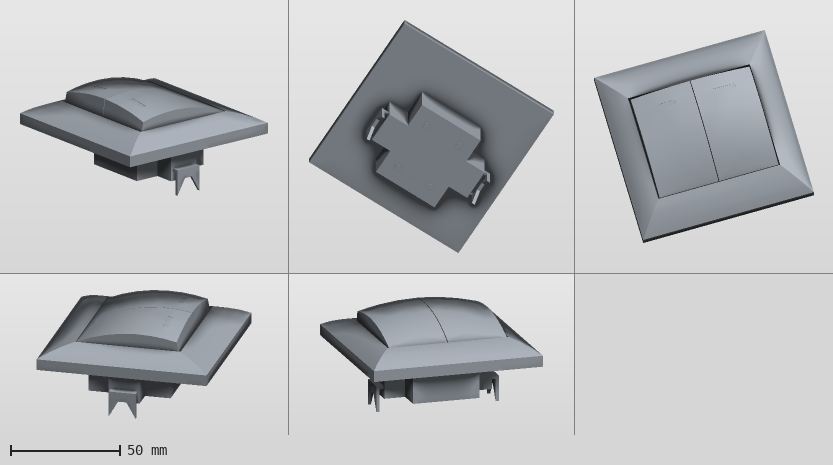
import cadquery as cq

FRAME_X = 81.5
FRAME_Y = 80.5
RIM_HEIGHT = 5.2
FRAME_HEIGHT = 11.0
OPENING_X = 58.2
OPENING_Y = 49.9
BEVEL_SAGITTA = 0.7

ROCKER_X = 56.7
ROCKER_BACK_Y = 24.6
ROCKER_BACK_Z = 10.75
ROCKER_FOOT_Y = -24.85
ROCKER_FRONT_Y = -22.8
CROWN_FRONT_Z = 19.0
CROWN_SAGITTA = 4.3
SIDE_FRONT_Z = 15.1
SIDE_SAGITTA = 4.1
SPLIT_WIDTH = 0.3

WINDOW_X = 10.2
WINDOW_Y = 2.2
WINDOW_CENTER_Y = -15.0
WINDOW_DEPTH = 0.2

HOUSING_CENTER_Y = 2.7
HOUSING_DEPTH = 17.8
HOUSING_LONG_X = 52.0
HOUSING_LONG_Y = 14.75
HOUSING_SHORT_X = 31.95
HOUSING_SHORT_Y = 38.9

PIN_DIAMETER = 2.5
PIN_HEIGHT = 0.3
PIN_SPACING_X = 17.6
PIN_SPACING_Y = 24.05
CENTER_PIN_DIAMETER = 1.1

CLAW_SPAN = 59.0
CLAW_THICKNESS = 1.55
CLAW_WIDTH = 12.8
CLAW_TOP_Z = -11.8
CLAW_TIP_Z = -24.05
NOTCH_TOP_Z = -16.4
NOTCH_TOP_WIDTH = 4.0

OVERLAP = 0.8
CUT_HEIGHT = 24.45


def bevel_prism(plane, width, opening, length):
    """Prism with a bevelled cross-section: straight rim sides, arcs up to the opening width."""
    half = width / 2
    half_opening = opening / 2
    return (
        cq.Workplane(plane)
        .moveTo(-half, 0)
        .lineTo(half, 0)
        .lineTo(half, RIM_HEIGHT)
        .sagittaArc((half_opening, FRAME_HEIGHT), -BEVEL_SAGITTA)
        .lineTo(-half_opening, FRAME_HEIGHT)
        .sagittaArc((-half, RIM_HEIGHT), -BEVEL_SAGITTA)
        .close()
        .extrude(length / 2, both=True)
    )


def make_frame():
    """Two crossing bevelled prisms meet in the mitres; the opening stops at rim height."""
    across_x = bevel_prism("XZ", FRAME_X, OPENING_X, FRAME_Y)
    across_y = bevel_prism("YZ", FRAME_Y, OPENING_Y, FRAME_X)
    opening = (
        cq.Workplane("XY", origin=(0, 0, RIM_HEIGHT))
        .rect(OPENING_X, OPENING_Y)
        .extrude(CUT_HEIGHT)
    )
    return across_x.intersect(across_y).cut(opening)


def rocker_section(x, front_z, sagitta):
    """Closed side profile of the rocker at one X position."""
    return (
        cq.Workplane("YZ", origin=(x, 0, 0))
        .moveTo(ROCKER_FOOT_Y, RIM_HEIGHT)
        .lineTo(ROCKER_BACK_Y, RIM_HEIGHT)
        .lineTo(ROCKER_BACK_Y, ROCKER_BACK_Z)
        .sagittaArc((ROCKER_FRONT_Y, front_z), -sagitta)
        .close()
        .wire()
        .val()
    )


def make_rockers():
    """Body lofted smoothly through end, middle and end profiles, then split and windowed."""
    sections = [
        rocker_section(-ROCKER_X / 2, SIDE_FRONT_Z, SIDE_SAGITTA),
        rocker_section(0, CROWN_FRONT_Z, CROWN_SAGITTA),
        rocker_section(ROCKER_X / 2, SIDE_FRONT_Z, SIDE_SAGITTA),
    ]
    body = cq.Workplane(cq.Solid.makeLoft(sections))

    window_centers = [(side * ROCKER_X / 4, WINDOW_CENTER_Y) for side in (-1, 1)]
    window_columns = (
        cq.Workplane("XY", origin=(0, 0, FRAME_HEIGHT))
        .pushPoints(window_centers)
        .rect(WINDOW_X, WINDOW_Y)
        .extrude(CUT_HEIGHT)
    )
    windows = window_columns.cut(body.translate((0, 0, -WINDOW_DEPTH)))

    split = (
        cq.Workplane("XY", origin=(0, 0, RIM_HEIGHT))
        .rect(SPLIT_WIDTH, FRAME_Y)
        .extrude(CUT_HEIGHT)
    )
    return body.cut(windows).cut(split)


def make_housing():
    """Cross-shaped block hanging from the frame, with pins on its underside."""
    top = cq.Workplane("XY", origin=(0, HOUSING_CENTER_Y, OVERLAP))
    height = HOUSING_DEPTH + OVERLAP
    long_bar = top.rect(HOUSING_LONG_X, HOUSING_LONG_Y).extrude(-height)
    short_bar = top.rect(HOUSING_SHORT_X, HOUSING_SHORT_Y).extrude(-height)

    underside = cq.Workplane("XY", origin=(0, HOUSING_CENTER_Y, -HOUSING_DEPTH))
    corner_pins = (
        underside.rarray(PIN_SPACING_X, PIN_SPACING_Y, 2, 2)
        .circle(PIN_DIAMETER / 2)
        .extrude(-PIN_HEIGHT)
    )
    center_pin = (
        underside.center(0, PIN_SPACING_Y / 2)
        .circle(CENTER_PIN_DIAMETER / 2)
        .extrude(-PIN_HEIGHT)
    )
    return long_bar.union(short_bar).union(corner_pins).union(center_pin)


def make_claw():
    """Claw on the -X end: a short arm bent down into a leg with a V-shaped, flat-topped notch."""
    outer_x = -CLAW_SPAN / 2
    inner_x = outer_x + CLAW_THICKNESS
    arm_end_x = -HOUSING_LONG_X / 2 + OVERLAP
    arm_bottom_z = CLAW_TOP_Z - CLAW_THICKNESS
    strip = (
        cq.Workplane("XZ", origin=(0, HOUSING_CENTER_Y, 0))
        .polyline([
            (outer_x, CLAW_TIP_Z),
            (outer_x, CLAW_TOP_Z),
            (arm_end_x, CLAW_TOP_Z),
            (arm_end_x, arm_bottom_z),
            (inner_x, arm_bottom_z),
            (inner_x, CLAW_TIP_Z),
        ])
        .close()
        .extrude(CLAW_WIDTH / 2, both=True)
    )
    notch = (
        cq.Workplane("YZ", origin=(outer_x, HOUSING_CENTER_Y, 0))
        .polyline([
            (-CLAW_WIDTH / 2, CLAW_TIP_Z),
            (-NOTCH_TOP_WIDTH / 2, NOTCH_TOP_Z),
            (NOTCH_TOP_WIDTH / 2, NOTCH_TOP_Z),
            (CLAW_WIDTH / 2, CLAW_TIP_Z),
        ])
        .close()
        .extrude(CLAW_THICKNESS)
    )
    return strip.cut(notch)


claw = make_claw()
result = (
    make_frame()
    .union(make_rockers())
    .union(make_housing())
    .union(claw)
    .union(claw.mirror("YZ"))
)